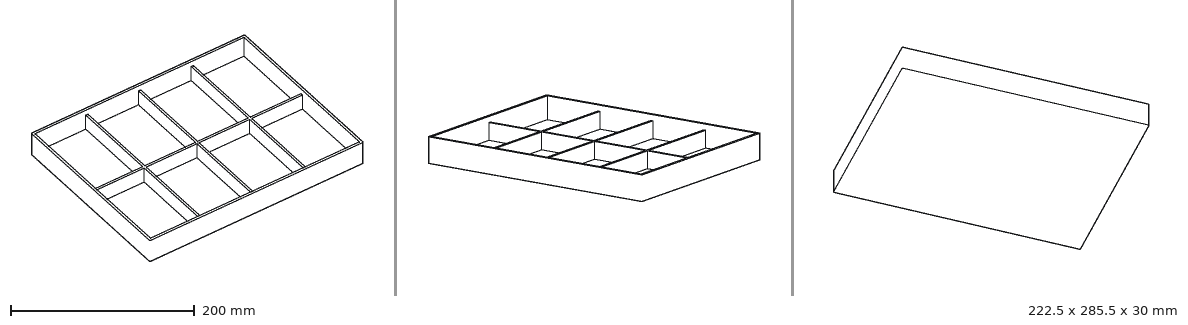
import cadquery as cq

width = 222.5
length = 285.5
height = 30.0
wall = 3.0
floor = 3.0
corner_radius = 1.5

divider_thickness = 2.9
divider_height = 20.0
columns = 2
rows = 4

inner_width = width - 2 * wall
inner_length = length - 2 * wall


def divider_positions(inner_size, cell_count):
    """Centres of the dividers that split a centred span into equal cells."""
    cell = (inner_size - (cell_count - 1) * divider_thickness) / cell_count
    pitch = cell + divider_thickness
    return [(i - cell_count / 2) * pitch for i in range(1, cell_count)]


def make_tray():
    """Open box with rounded outer vertical corners and sharp inner corners."""
    outer = cq.Workplane("XY").box(width, length, height, centered=(True, True, False))
    outer = outer.edges("|Z").fillet(corner_radius)
    return outer.faces(">Z").workplane().rect(inner_width, inner_length).cutBlind(floor - height)


def make_divider(size_x, size_y, x, y):
    """Upright plate standing on the tray floor."""
    plate = cq.Workplane("XY").box(size_x, size_y, divider_height, centered=(True, True, False))
    return plate.translate((x, y, floor))


result = make_tray()
for x in divider_positions(inner_width, columns):
    result = result.union(make_divider(divider_thickness, inner_length, x, 0))
for y in divider_positions(inner_length, rows):
    result = result.union(make_divider(inner_width, divider_thickness, 0, y))